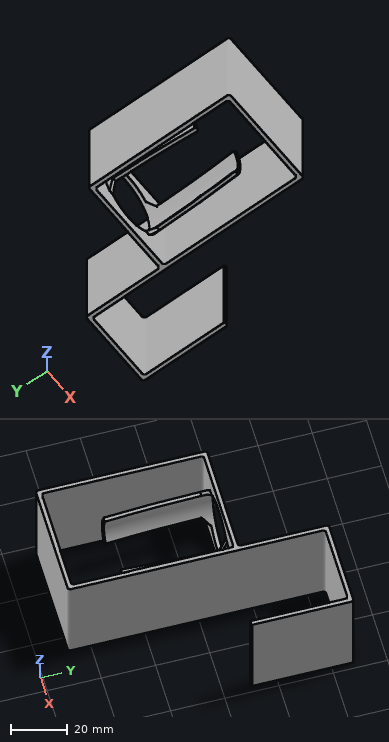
import cadquery as cq

WALL = 1.8
HEIGHT = 40.0
BOX_INNER_WIDTH = 40.0
BOX_DEPTH = 63.3
OVERALL_DEPTH = 96.6
HOOK_INNER_WIDTH = 30.0
HOOK_LEG_LENGTH = 38.0
CORNER_RADIUS = 1.0
LEG_TIP_CHAMFER = 0.5

CLIP_LENGTH = 41.0
CLIP_ROOT_RADIUS = 15.45
BORE_ROOT_RADIUS = 13.95
CLIP_TIP_INSET = 1.2
CLIP_TIP_CHAMFER = 0.5
JAW_HEIGHT = 14.6
JAW_FLARE = 3.0

BOX_WIDTH = BOX_INNER_WIDTH + 2 * WALL
HOOK_WIDTH = HOOK_INNER_WIDTH + 2 * WALL
BOX_LEFT = -BOX_WIDTH / 2
BOX_RIGHT = BOX_WIDTH / 2
HOOK_LEFT = BOX_RIGHT - WALL
HOOK_RIGHT = HOOK_LEFT + HOOK_WIDTH
WALL_FRONT_Y = BOX_DEPTH - WALL
CLIP_TIP_Y = BOX_DEPTH - CLIP_LENGTH
CLIP_AXIS_Z = HEIGHT / 2

JAW_BEND_RADIUS = (CLIP_LENGTH**2 + CLIP_TIP_INSET**2) / (2 * CLIP_TIP_INSET)


def block(x_min, x_max, y_min, y_max):
    """Full-height block between the given X and Y limits."""
    return cq.Workplane("XY").box(
        x_max - x_min, y_max - y_min, HEIGHT, centered=False
    ).translate((x_min, y_min, 0))


def make_body():
    """Box frame, upright, hook bridge and hook leg with rounded corners."""
    body = block(BOX_LEFT, BOX_RIGHT, 0, BOX_DEPTH)
    body = body.union(block(HOOK_LEFT, HOOK_RIGHT, OVERALL_DEPTH - HOOK_LEG_LENGTH, OVERALL_DEPTH))
    body = body.union(block(HOOK_LEFT, BOX_RIGHT, 0, OVERALL_DEPTH))
    body = body.cut(block(BOX_LEFT + WALL, BOX_RIGHT - WALL, WALL, BOX_DEPTH - WALL))
    body = body.cut(block(BOX_RIGHT, HOOK_RIGHT - WALL, 0, OVERALL_DEPTH - WALL))

    leg_tip_y = OVERALL_DEPTH - HOOK_LEG_LENGTH
    leg_tip = cq.selectors.BoxSelector(
        (HOOK_RIGHT - 2 * WALL, leg_tip_y - WALL, 0),
        (HOOK_RIGHT + WALL, leg_tip_y + WALL, HEIGHT),
    )
    upright_edges = cq.selectors.StringSyntaxSelector("|Z")
    body = body.edges(upright_edges - leg_tip).fillet(CORNER_RADIUS)
    return body.edges(upright_edges).edges(leg_tip).chamfer(LEG_TIP_CHAMFER)


def bent_plug(root_radius):
    """Round plug from the back of the middle wall to the clip tip, narrowing along the bend arc."""
    return (
        cq.Workplane("XY")
        .moveTo(0, BOX_DEPTH)
        .lineTo(root_radius, BOX_DEPTH)
        .radiusArc((root_radius - CLIP_TIP_INSET, CLIP_TIP_Y), JAW_BEND_RADIUS)
        .lineTo(0, CLIP_TIP_Y)
        .close()
        .revolve(360, (0, 0, 0), (0, 1, 0))
        .translate((0, 0, CLIP_AXIS_Z))
    )


def make_jaw_band():
    """Band that sets the jaw height, widening at 45 degrees where it meets the middle wall."""
    half = JAW_HEIGHT / 2
    flare_start_y = WALL_FRONT_Y - JAW_FLARE
    return (
        cq.Workplane("YZ")
        .polyline([
            (CLIP_TIP_Y, -half),
            (flare_start_y, -half),
            (WALL_FRONT_Y, -half - JAW_FLARE),
            (WALL_FRONT_Y, half + JAW_FLARE),
            (flare_start_y, half),
            (CLIP_TIP_Y, half),
        ])
        .close()
        .extrude(CLIP_ROOT_RADIUS, both=True)
        .translate((0, 0, CLIP_AXIS_Z))
    )


def add_clip(body):
    """Join both jaws to the middle wall, open the bore through jaws and wall, and bevel the tips."""
    jaws = bent_plug(CLIP_ROOT_RADIUS).intersect(make_jaw_band())
    bracket = body.union(jaws).cut(bent_plug(BORE_ROOT_RADIUS))
    jaw_tips = cq.selectors.BoxSelector(
        (-CLIP_ROOT_RADIUS, CLIP_TIP_Y - CLIP_TIP_CHAMFER, 0),
        (CLIP_ROOT_RADIUS, CLIP_TIP_Y + CLIP_TIP_CHAMFER, HEIGHT),
    )
    return bracket.edges("%CIRCLE").edges(jaw_tips).chamfer(CLIP_TIP_CHAMFER)


result = add_clip(make_body())